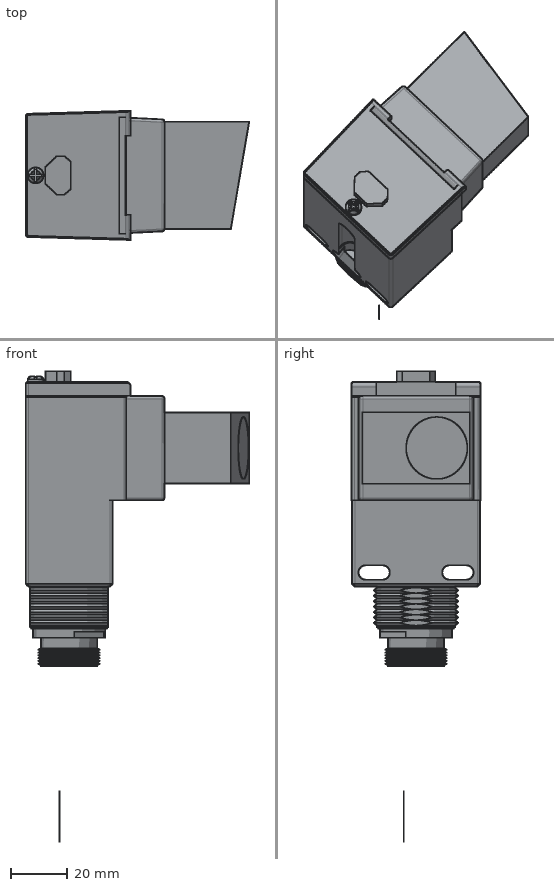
import cadquery as cq
import math

overall_width = 46.0
overall_height = 167.2

back_x = -15.4
front_x = 15.5
head_front_x = 20.4
back_half_width = 21.9
front_half_width = overall_width / 2
lid_front_x = 21.9
shoulder_z = 30.6
lid_bottom_z = 67.7
lid_top_z = 72.7
corner_radius = 1.0
underside_chamfer = 1.0
seam_chamfer = 0.5

lid_round = 1.7
lid_edge_chamfer = 0.5
groove_half_width = 20.7
groove_back_x = 17.9
groove_radius = 2.0
clip_gap_half_width = 14.0
clip_gap_back_x = 19.9

collar_front_x = 34.0
collar_back_half_width = 20.5
collar_front_half_width = 19.9

channel_radius = 4.0
channel_axis_x = back_x + 1.7
channel_top_z = 49.3
channel_ring_z = 15.0
channel_ring_height = 0.8
channel_ring_depth = 0.2
pocket_length = 13.7
pocket_height = 5.7
pocket_z = 4.8
pocket_depth = 3.0
slot_length = 11.0
slot_height = 5.0
slot_z = 5.0
slot_offset_y = 14.9

button_top_z = 76.5
button_half_outline = [(-8.4, 3.0), (-4.3, 6.9), (-1.7, 6.9), (0.7, 4.8)]
screw_x = -11.9
screw_radius = 2.8
screw_rim_height = 0.8
screw_head_height = 2.0
screw_crown_radius = 1.7
screw_shoulder_height = 1.7
cross_length = 4.3
cross_width = 0.8
cross_depth = 1.0

stem_radius = 15.0
stem_root_radius = 13.9
stem_pitch = 1.92
stem_first_crest_z = -1.3
stem_crests = 7
stem_bottom_z = -14.9
ring_radius = 12.9
ring_bottom_z = -18.2
ring_flat_top_z = -16.0
ring_flat_distance = 10.9
ring_flat_angle = -49
neck_radius = 10.0
plug_radius = 10.9
plug_pitch = 1.0
plug_top_z = -21.9
plug_crests = 6
plug_bottom_z = -28.3

optic_half_width = 19.0
optic_bottom_z = 36.6
optic_top_z = 61.9
optic_near_x = 57.5
optic_far_x = 64.0
window_y = 7.4
window_radius = 11.0
window_depth = 0.2

rod_x = -3.3
rod_y = -4.3
rod_width = 0.2
rod_top_z = -72.7
rod_bottom_z = button_top_z - overall_height


def tapered_block(x0, half_width_0, x1, half_width_1, z0, z1):
    """Block whose width changes evenly from x0 to x1."""
    outline = [(x0, -half_width_0), (x1, -half_width_1), (x1, half_width_1), (x0, half_width_0)]
    return cq.Workplane("XY").workplane(offset=z0).polyline(outline).close().extrude(z1 - z0)


def cylinder(radius, z0, z1, x=0.0):
    """Vertical cylinder on the XZ plane."""
    return cq.Workplane("XY", origin=(x, 0, z0)).circle(radius).extrude(z1 - z0)


def half_width_at(x):
    """Half width of the housing and the lid at a given x."""
    slope = (front_half_width - back_half_width) / (lid_front_x - back_x)
    return back_half_width + slope * (x - back_x)


def housing_block(x1, z0, z1):
    return tapered_block(back_x, back_half_width, x1, half_width_at(x1), z0, z1)


def make_shell():
    """L-shaped block with rounded upright corners and a seam under the lid."""
    shell = housing_block(front_x, 0, lid_bottom_z)
    shell = shell.union(housing_block(head_front_x, shoulder_z, lid_bottom_z))
    shell = shell.edges("|Z").fillet(corner_radius)
    shell = shell.faces("<Z").chamfer(underside_chamfer)
    return shell.faces(">Z").chamfer(seam_chamfer)


def make_lid():
    """Lid plate with a V groove near its front edge and a gap between two clips."""
    height = lid_top_z - lid_bottom_z
    lid = housing_block(lid_front_x, lid_bottom_z, lid_top_z)
    lid = lid.edges("|Z and <X").fillet(corner_radius)
    lid = lid.edges(">Z").edges("<Y or >Y").chamfer(lid_edge_chamfer)
    lid = lid.edges(">Z").edges(">X").fillet(lid_round)

    arc_middle = groove_radius * (1 - math.sqrt(0.5))
    groove = (
        cq.Workplane("XZ", origin=(groove_back_x, groove_half_width, lid_top_z))
        .moveTo(0, 0)
        .lineTo(0, -groove_radius)
        .threePointArc((arc_middle, -arc_middle), (groove_radius, 0))
        .close()
        .extrude(2 * groove_half_width)
    )
    gap = cq.Workplane("XY").box(
        lid_front_x - clip_gap_back_x, 2 * clip_gap_half_width, height, centered=(False, True, False)
    )
    return lid.cut(groove).cut(gap.translate((clip_gap_back_x, 0, lid_bottom_z)))


def make_collar():
    collar = tapered_block(
        head_front_x,
        collar_back_half_width,
        collar_front_x,
        collar_front_half_width,
        shoulder_z,
        lid_bottom_z,
    )
    return collar.edges("not <X").fillet(corner_radius)


def make_button():
    mirrored = [(x, -y) for x, y in reversed(button_half_outline)]
    outline = cq.Workplane("XY", origin=(0, 0, lid_top_z)).polyline(button_half_outline + mirrored).close()
    return outline.extrude(button_top_z - lid_top_z)


def make_screw():
    """Domed screw head with a cross recess."""
    crown_middle = (screw_radius + screw_crown_radius) / 2
    head = (
        cq.Workplane("XZ")
        .lineTo(screw_radius, 0)
        .lineTo(screw_radius, screw_rim_height)
        .threePointArc((crown_middle, screw_shoulder_height), (screw_crown_radius, screw_head_height))
        .lineTo(0, screw_head_height)
        .close()
        .revolve(360, (0, 0, 0), (0, 1, 0))
    )
    cross = cq.Workplane("XY", origin=(0, 0, screw_head_height - cross_depth))
    cross = cross.rect(cross_length, cross_width).extrude(cross_depth).union(
        cross.rect(cross_width, cross_length).extrude(cross_depth)
    )
    return head.cut(cross).translate((screw_x, 0, lid_top_z))


def thread_rings(root_radius, crest_radius, pitch, first_crest_z, count):
    """Ring-shaped thread crests with V flanks, spaced one pitch apart downwards."""
    crests = []
    for i in range(count):
        z = first_crest_z - i * pitch
        profile = [
            (0, z + pitch / 2),
            (root_radius, z + pitch / 2),
            (crest_radius, z),
            (root_radius, z - pitch / 2),
            (0, z - pitch / 2),
        ]
        crests.append(cq.Workplane("XZ").polyline(profile).close().revolve(360, (0, 0, 0), (0, 1, 0)))
    return crests


def make_stem():
    """Stem thread with two flats, wrench ring, neck and plug thread."""
    stem = cylinder(stem_root_radius, stem_bottom_z, 0).faces("<Z").chamfer(seam_chamfer)
    for crest in thread_rings(stem_root_radius, stem_radius, stem_pitch, stem_first_crest_z, stem_crests):
        stem = stem.union(crest)
    between_flats = cq.Workplane("XY").box(
        2 * stem_root_radius, 2 * stem_radius, -stem_bottom_z, centered=(True, True, False)
    )
    stem = stem.intersect(between_flats.translate((0, 0, stem_bottom_z)))

    ring_flats = (
        cq.Workplane("XY", origin=(0, 0, ring_bottom_z))
        .rect(2 * ring_flat_distance, 2 * ring_radius)
        .extrude(ring_flat_top_z - ring_bottom_z)
        .rotate((0, 0, 0), (0, 0, 1), ring_flat_angle)
    )
    ring = cylinder(ring_radius, ring_bottom_z, ring_flat_top_z).intersect(ring_flats)
    ring = ring.union(cylinder(ring_radius, ring_flat_top_z, stem_bottom_z))

    plug = cylinder(neck_radius, plug_bottom_z, ring_bottom_z)
    first_crest_z = plug_top_z - plug_pitch / 2
    for crest in thread_rings(neck_radius, plug_radius, plug_pitch, first_crest_z, plug_crests):
        plug = plug.union(crest)
    return stem.union(ring).union(plug)


def make_channel():
    """Round-bottomed upright channel with a domed top and a shallow ring line."""
    channel = cylinder(channel_radius, pocket_z, channel_top_z, channel_axis_x)
    channel = channel.union(
        cq.Workplane("XY").sphere(channel_radius).translate((channel_axis_x, 0, channel_top_z))
    )
    mouth = (
        cq.Workplane("YZ", origin=(back_x, 0, 0))
        .moveTo(-channel_radius, pocket_z)
        .lineTo(channel_radius, pocket_z)
        .lineTo(channel_radius, channel_top_z)
        .threePointArc((0, channel_top_z + channel_radius), (-channel_radius, channel_top_z))
        .close()
        .extrude(channel_axis_x - back_x)
    )
    ring = cylinder(
        channel_radius + channel_ring_depth,
        channel_ring_z - channel_ring_height / 2,
        channel_ring_z + channel_ring_height / 2,
        channel_axis_x,
    )
    return channel.union(mouth).union(ring)


def make_foot_pocket():
    """Rounded slot that runs upwards at 45 degrees into the back face."""
    outline = cq.Workplane("YZ", origin=(back_x, 0, pocket_z)).slot2D(pocket_length, pocket_height)
    direction = cq.Vector(pocket_depth, 0, pocket_depth)
    return cq.Workplane(cq.Solid.extrudeLinear(outline.ctx.pendingWires[0], [], direction))


def make_mounting_slots():
    places = [(-slot_offset_y, slot_z), (slot_offset_y, slot_z)]
    slots = cq.Workplane("YZ", origin=(back_x, 0, 0)).pushPoints(places)
    return slots.slot2D(slot_length, slot_height).extrude(front_x - back_x)


def make_housing():
    housing = make_shell().union(make_lid()).union(make_collar())
    housing = housing.union(make_button()).union(make_screw()).union(make_stem())
    return housing.cut(make_channel()).cut(make_foot_pocket()).cut(make_mounting_slots())


def make_optical_head():
    """Box with a slanted end face that carries a shallow round window."""
    outline = [
        (collar_front_x, -optic_half_width),
        (optic_near_x, -optic_half_width),
        (optic_far_x, optic_half_width),
        (collar_front_x, optic_half_width),
    ]
    box = cq.Workplane("XY", origin=(0, 0, optic_bottom_z)).polyline(outline).close()
    box = box.extrude(optic_top_z - optic_bottom_z)

    run = optic_far_x - optic_near_x
    window_x = optic_near_x + run * (window_y + optic_half_width) / (2 * optic_half_width)
    middle_z = (optic_bottom_z + optic_top_z) / 2
    end_face = cq.Plane(
        origin=(window_x, window_y, middle_z), xDir=(0, 0, 1), normal=(2 * optic_half_width, -run, 0)
    )
    return box.cut(cq.Workplane(end_face).circle(window_radius).extrude(-window_depth))


def make_rod():
    rod = cq.Workplane("XY", origin=(rod_x, rod_y, rod_bottom_z)).rect(rod_width, rod_width)
    return rod.extrude(rod_top_z - rod_bottom_z)


housing = make_housing()
optical_head = make_optical_head()
rod = make_rod()

result = cq.Compound.makeCompound([housing.val(), optical_head.val(), rod.val()])